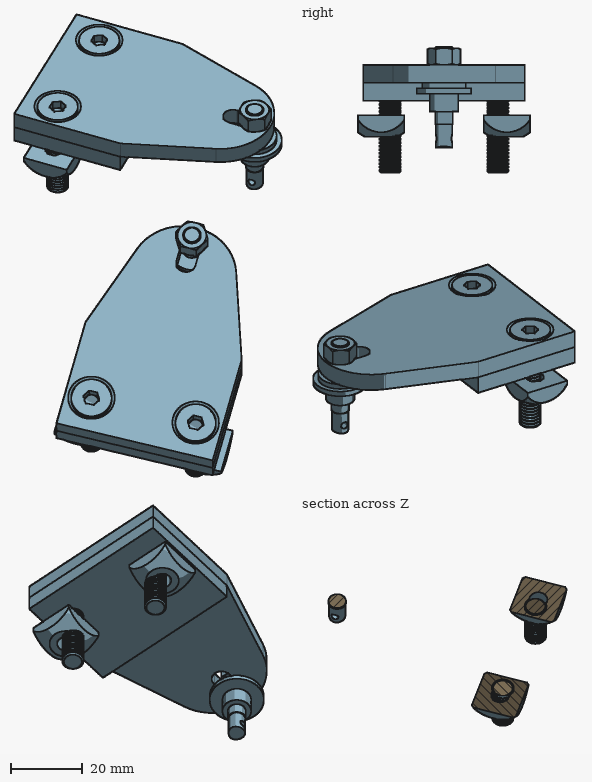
import cadquery as cq
import math


plate_thickness = 5.0
plate_width = 45.0
base_length = 32.0
nose_radius = 15.0
nose_x = 52.85

screw_x = 10.0
screw_spacing = 30.0
screw_diameter = 6.0
screw_bottom = -25.0
head_diameter = 11.3
countersink_diameter = 13.0
socket_across_flats = 4.0
socket_depth = 2.4
socket_tip_angle = math.radians(30.0)
thread_pitch = 0.97
thread_depth = 0.5
thread_crest = 0.2
thread_count = 21
thread_end_gap = 0.1
thread_start = screw_bottom + thread_end_gap

slot_nut_size = 13.0
slot_nut_height = 6.0
slot_nut_top = -9.0
slot_nut_offset = 2.5
slot_nut_centre_bore = 4.9
slot_nut_sphere_radius = 10.1
slot_nut_sphere_z = -6.0

stud_x = 63.17
stud_diameter = 5.0
stud_top = 10.0
stud_shoulder = -11.5
stud_bottom = -18.0
stud_tip_diameter = 4.65
stud_chamfer = 0.35
stud_end_radius = 8.0
cross_hole_diameter = 2.0
cross_hole_z = -15.5
slot_width = 5.5
slot_start_x = 56.6
collar_diameter = 12.25
collar_height = 1.5
flange_diameter = 15.14
flange_height = 1.5
sleeve_diameter = 8.0
sleeve_height = 5.0
hex_nut_across_flats = 8.0
hex_nut_height = 4.7
hex_nut_chamfer_angle = math.radians(30.0)

half_width = plate_width / 2
screw_radius = screw_diameter / 2
countersink_depth = (countersink_diameter - screw_diameter) / 2
head_bottom = plate_thickness - countersink_depth
head_top = plate_thickness
head_rim_bottom = plate_thickness - (countersink_diameter - head_diameter) / 2


def hexagon_diameter(across_flats):
    return across_flats / math.cos(math.pi / 6)


def cylinder(x, y, diameter, bottom, top):
    return cq.Workplane("XY", origin=(x, y, bottom)).circle(diameter / 2).extrude(top - bottom)


def hexagon_prism(x, y, across_flats, bottom, top):
    """Hexagon with its flats facing +X and -X."""
    prism = cq.Workplane("XY").polygon(6, hexagon_diameter(across_flats)).extrude(top - bottom)
    return prism.rotate((0, 0, 0), (0, 0, 1), 30).translate((x, y, bottom))


def revolve_profile(profile):
    """Turn a closed radius/height profile around Z."""
    return profile.close().revolve(360, (0, 0, 0), (0, 1, 0))


screw_positions = [(screw_x, side * screw_spacing / 2) for side in (-1, 1)]


def make_base_plate():
    plate = cq.Workplane("XY", origin=(0, 0, -plate_thickness))
    plate = plate.rect(base_length, plate_width).extrude(plate_thickness).translate((base_length / 2, 0, 0))
    for x, y in screw_positions:
        plate = plate.cut(cylinder(x, y, screw_diameter, -plate_thickness, 0))
    return plate


def make_top_plate():
    corner_distance = math.hypot(nose_x - base_length, half_width)
    corner_angle = math.atan2(half_width, base_length - nose_x)
    tangent_angle = corner_angle - math.acos(nose_radius / corner_distance)
    tangent_x = nose_x + nose_radius * math.cos(tangent_angle)
    tangent_y = nose_radius * math.sin(tangent_angle)
    plate = (
        cq.Workplane("XY")
        .moveTo(0, -half_width)
        .lineTo(base_length, -half_width)
        .lineTo(tangent_x, -tangent_y)
        .threePointArc((nose_x + nose_radius, 0), (tangent_x, tangent_y))
        .lineTo(base_length, half_width)
        .lineTo(0, half_width)
        .close()
        .extrude(plate_thickness)
    )
    for x, y in screw_positions:
        plate = plate.cut(cylinder(x, y, screw_diameter, 0, plate_thickness))
        countersink = cq.Solid.makeCone(
            screw_radius, countersink_diameter / 2, countersink_depth, cq.Vector(x, y, head_bottom)
        )
        plate = plate.cut(cq.Workplane(countersink))
    slot_travel = stud_x - slot_start_x
    slot = (
        cq.Workplane("XY")
        .center((slot_start_x + stud_x) / 2, 0)
        .slot2D(slot_travel + slot_width, slot_width)
        .extrude(plate_thickness)
    )
    return plate.cut(slot)


def make_screw(x, y):
    root_radius = screw_radius - thread_depth
    flank_height = (thread_pitch - thread_crest) / 2
    profile = cq.Workplane("XZ").moveTo(0, screw_bottom).lineTo(root_radius, screw_bottom)
    for turn in range(thread_count):
        ring_bottom = thread_start + turn * thread_pitch
        profile = (
            profile.lineTo(screw_radius, ring_bottom + flank_height)
            .lineTo(screw_radius, ring_bottom + flank_height + thread_crest)
            .lineTo(root_radius, ring_bottom + thread_pitch)
        )
    thread_top = thread_start + thread_count * thread_pitch
    profile = (
        profile.lineTo(screw_radius, thread_top)
        .lineTo(screw_radius, head_bottom)
        .lineTo(head_diameter / 2, head_rim_bottom)
        .lineTo(head_diameter / 2, head_top)
        .lineTo(0, head_top)
    )
    screw = revolve_profile(profile).translate((x, y, 0))

    socket_bottom = head_top - socket_depth
    socket = hexagon_prism(x, y, socket_across_flats, socket_bottom, head_top)
    tip_radius = socket_across_flats / 2
    tip_depth = tip_radius * math.tan(socket_tip_angle)
    tip = cq.Solid.makeCone(0, tip_radius, tip_depth, cq.Vector(x, y, socket_bottom - tip_depth))
    return screw.cut(socket).cut(cq.Workplane(tip))


def make_slot_nut(x, y):
    """Square nut rounded underneath by a sphere, with a centre bore and a screw bore inboard of it."""
    centre_y = y + math.copysign(slot_nut_offset, y)
    nut = (
        cq.Workplane("XY", origin=(x, centre_y, slot_nut_top))
        .rect(slot_nut_size, slot_nut_size)
        .extrude(-slot_nut_height)
    )
    ball = cq.Workplane("XY", origin=(x, centre_y, slot_nut_sphere_z)).sphere(slot_nut_sphere_radius)
    slot_nut_bottom = slot_nut_top - slot_nut_height
    centre_bore = cylinder(x, centre_y, slot_nut_centre_bore, slot_nut_bottom, slot_nut_top)
    screw_bore = cylinder(x, y, screw_diameter, slot_nut_bottom, slot_nut_top)
    return nut.intersect(ball).cut(centre_bore).cut(screw_bore)


def make_stud():
    upper = cylinder(stud_x, 0, stud_diameter, stud_shoulder, stud_top).faces(">Z").chamfer(stud_chamfer)
    tip = cylinder(stud_x, 0, stud_tip_diameter, stud_bottom, stud_shoulder)
    rounding = (
        cq.Workplane("XZ", origin=(stud_x, 0, stud_bottom + stud_end_radius))
        .circle(stud_end_radius)
        .extrude(stud_diameter / 2, both=True)
    )
    cross_hole = (
        cq.Workplane("XZ", origin=(stud_x, 0, cross_hole_z))
        .circle(cross_hole_diameter / 2)
        .extrude(stud_diameter, both=True)
    )
    return upper.union(tip.intersect(rounding)).cut(cross_hole)


def make_bushing():
    collar_bottom = -collar_height
    flange_bottom = collar_bottom - flange_height
    sleeve_bottom = flange_bottom - sleeve_height
    bushing = cylinder(stud_x, 0, collar_diameter, collar_bottom, 0)
    bushing = bushing.union(cylinder(stud_x, 0, flange_diameter, flange_bottom, collar_bottom))
    bushing = bushing.union(cylinder(stud_x, 0, sleeve_diameter, sleeve_bottom, flange_bottom))
    return bushing.cut(cylinder(stud_x, 0, stud_diameter, sleeve_bottom, 0))


def make_hex_nut():
    bottom = plate_thickness
    top = bottom + hex_nut_height
    flat_radius = hex_nut_across_flats / 2
    corner_radius = hexagon_diameter(hex_nut_across_flats) / 2
    corner_drop = (corner_radius - flat_radius) * math.tan(hex_nut_chamfer_angle)
    blank = revolve_profile(
        cq.Workplane("XZ")
        .moveTo(0, bottom)
        .lineTo(flat_radius, bottom)
        .lineTo(corner_radius, bottom + corner_drop)
        .lineTo(corner_radius, top - corner_drop)
        .lineTo(flat_radius, top)
        .lineTo(0, top)
    ).translate((stud_x, 0, 0))
    nut = hexagon_prism(stud_x, 0, hex_nut_across_flats, bottom, top).intersect(blank)
    return nut.cut(cylinder(stud_x, 0, stud_diameter, bottom, top))


base_plate = make_base_plate()
top_plate = make_top_plate()
screws = [make_screw(x, y) for x, y in screw_positions]
slot_nuts = [make_slot_nut(x, y) for x, y in screw_positions]
stud = make_stud()
bushing = make_bushing()
hex_nut = make_hex_nut()

result = cq.Compound.makeCompound(
    [
        base_plate.val(),
        top_plate.val(),
        *[screw.val() for screw in screws],
        *[slot_nut.val() for slot_nut in slot_nuts],
        stud.val(),
        bushing.val(),
        hex_nut.val(),
    ]
)